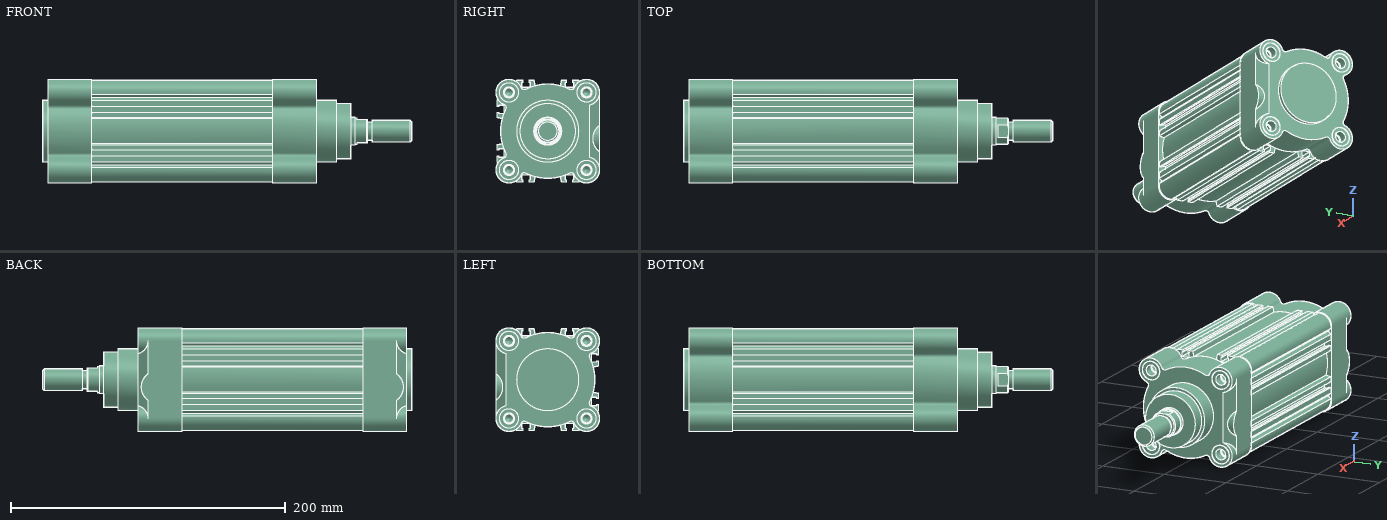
import cadquery as cq
import math

TOTAL_LENGTH = 269.0
REAR_PILOT_LENGTH = 3.8
COVER_LENGTH = 32.0
BARREL_LENGTH = 131.8
BARREL_START = REAR_PILOT_LENGTH + COVER_LENGTH
BARREL_END = BARREL_START + BARREL_LENGTH
FRONT_FACE = BARREL_END + COVER_LENGTH

COVER_SIZE = 75.5
HALF_SIZE = COVER_SIZE / 2
SCREW_OFFSET = 28.2
BOSS_RADIUS = HALF_SIZE - SCREW_OFFSET
BODY_RADIUS = 34.5
NOTCH_FILLET = 2.5
PILOT_RADIUS = 22.5

PORT_FLAT = 30.5
PORT_CHAMFER = HALF_SIZE - PORT_FLAT
PORT_BOSS_RADIUS = 11.8
PORT_BOSS_SETBACK = 14.3
PORT_BOSS_Z = -5.5

SEAT_RADIUS = 7.0
SEAT_DEPTH = 0.5
MOUTH_RADIUS = 4.0
MOUTH_DEPTH = 8.0
THREAD_RADIUS = 3.2
THREAD_DEPTH = 13.5
DRILL_HALF_ANGLE = 59

BARREL_HALF = 37.0
CORNER_CENTRE = 28.0
CORNER_RADIUS = BARREL_HALF - CORNER_CENTRE
GROOVE_OUTER = 26.5
GROOVE_INNER = 22.3
GROOVE_DEPTH = 2.2
SLOT_FLOOR = 32.0
SLOT_CENTRE = 16.0
SLOT_MOUTH = 4.3
SLOT_WIDTH = 6.0
LIP_THICKNESS = 1.5
FIN_INNER_TOP = 10.0
FIN_INNER_BASE = 9.0

NOSE_RADIUS = 22.5
NOSE_END = 214.0
NECK_RADIUS = 20.2
NECK_END = 224.5
LIP_RADIUS = 10.2
LIP_END = 227.5

ROD_RADIUS = 9.7
ROD_SHOULDER = 236.7
ROD_CHAMFER = 0.8
FLAT_START = 229.2
FLAT_HALF = 8.5
UNDERCUT_RADIUS = 6.7
THREAD_START = 240.0
ROD_THREAD_RADIUS = 8.0
ROD_TIP_CHAMFER = 1.3


def cylinder_x(x_start, x_end, radius):
    """Cylinder on the main axis between two X positions."""
    return cq.Workplane("YZ", origin=(x_start, 0, 0)).circle(radius).extrude(x_end - x_start)


def screw_socket():
    """Cutter for one screw, entering along +X from the face x = 0."""
    thread_end = SEAT_DEPTH + THREAD_DEPTH
    cone_length = THREAD_RADIUS / math.tan(math.radians(DRILL_HALF_ANGLE))
    return (
        cq.Workplane("XY")
        .polyline([
            (0, 0),
            (0, SEAT_RADIUS),
            (SEAT_DEPTH, SEAT_RADIUS),
            (SEAT_DEPTH, MOUTH_RADIUS),
            (SEAT_DEPTH + MOUTH_DEPTH, MOUTH_RADIUS),
            (SEAT_DEPTH + MOUTH_DEPTH, THREAD_RADIUS),
            (thread_end, THREAD_RADIUS),
            (thread_end + cone_length, 0),
        ])
        .close()
        .revolve(360, (0, 0, 0), (1, 0, 0))
    )


def is_notch_edge(edge):
    """True where a boss meets the round body, except on the port side."""
    centre = edge.Center()
    on_round_body = math.isclose(math.hypot(centre.y, centre.z), BODY_RADIUS, abs_tol=0.03)
    between_sides = min(abs(centre.y), abs(centre.z)) > BOSS_RADIUS
    return on_round_body and between_sides and centre.y < SCREW_OFFSET


def make_cover_casting():
    """Cover with its outer face at x = 0 and its barrel face at x = COVER_LENGTH."""
    corners = (
        cq.Workplane("YZ")
        .rect(2 * SCREW_OFFSET, 2 * SCREW_OFFSET, forConstruction=True)
        .vertices()
    )
    bosses = corners.circle(BOSS_RADIUS).extrude(COVER_LENGTH)
    casting = cylinder_x(0, COVER_LENGTH, BODY_RADIUS).union(bosses)
    notches = casting.edges("|X").filter(is_notch_edge)
    casting = notches.fillet(NOTCH_FILLET)

    boss_gap = 2 * (SCREW_OFFSET - BOSS_RADIUS)
    overhang = cq.Workplane("XY").box(
        COVER_LENGTH, HALF_SIZE, boss_gap, centered=(False, False, True)
    )
    casting = casting.cut(overhang.translate((0, PORT_FLAT, 0)))

    port_block = (
        cq.Workplane("XY", origin=(0, 0, -SCREW_OFFSET))
        .polyline([
            (0, 0),
            (0, PORT_FLAT),
            (PORT_CHAMFER, HALF_SIZE),
            (COVER_LENGTH, HALF_SIZE),
            (COVER_LENGTH, 0),
        ])
        .close()
        .extrude(2 * SCREW_OFFSET)
    )
    port_boss = (
        cq.Workplane("XZ", origin=(PORT_BOSS_SETBACK, 0, PORT_BOSS_Z))
        .circle(PORT_BOSS_RADIUS)
        .extrude(-HALF_SIZE)
    )
    casting = casting.union(port_block).union(port_boss)

    for y in (-SCREW_OFFSET, SCREW_OFFSET):
        for z in (-SCREW_OFFSET, SCREW_OFFSET):
            casting = casting.cut(screw_socket().translate((0, y, z)))
    return casting


def make_rear_cover():
    casting = make_cover_casting().translate((REAR_PILOT_LENGTH, 0, 0))
    return casting.union(cylinder_x(0, BARREL_START, PILOT_RADIUS))


def make_front_cover():
    """Mirrored casting with a stepped nose, bored through for the rod."""
    casting = make_cover_casting().mirror("YZ").translate((FRONT_FACE, 0, 0))
    nose = cylinder_x(BARREL_END, NOSE_END, NOSE_RADIUS)
    neck = cylinder_x(BARREL_END, NECK_END, NECK_RADIUS)
    lip = cylinder_x(BARREL_END, LIP_END, LIP_RADIUS)
    bore = cylinder_x(BARREL_END, LIP_END, ROD_RADIUS)
    return casting.union(nose).union(neck).union(lip).cut(bore)


def make_barrel():
    """Extruded profile: the same grooves and slots on all four sides."""
    blank = (
        cq.Workplane("YZ", origin=(BARREL_START, 0, 0))
        .rect(2 * BARREL_HALF, 2 * BARREL_HALF)
        .extrude(BARREL_LENGTH)
        .edges("|X")
        .fillet(CORNER_RADIUS)
    )
    channel = (
        cq.Workplane("YZ", origin=(BARREL_START, 0, 0))
        .polyline([
            (-FIN_INNER_TOP, BARREL_HALF),
            (-FIN_INNER_BASE, SLOT_FLOOR),
            (FIN_INNER_BASE, SLOT_FLOOR),
            (FIN_INNER_TOP, BARREL_HALF),
        ])
        .close()
        .extrude(BARREL_LENGTH)
        .cut(cylinder_x(BARREL_START, BARREL_END, BODY_RADIUS))
    )
    cutters = [channel]
    for side in (-1, 1):
        slot = (
            cq.Workplane("YZ", origin=(BARREL_START, side * SLOT_CENTRE, 0))
            .polyline([
                (-SLOT_MOUTH / 2, BARREL_HALF),
                (-SLOT_MOUTH / 2, BARREL_HALF - LIP_THICKNESS),
                (-SLOT_WIDTH / 2, BARREL_HALF - LIP_THICKNESS),
                (-SLOT_WIDTH / 2, SLOT_FLOOR),
                (SLOT_WIDTH / 2, SLOT_FLOOR),
                (SLOT_WIDTH / 2, BARREL_HALF - LIP_THICKNESS),
                (SLOT_MOUTH / 2, BARREL_HALF - LIP_THICKNESS),
                (SLOT_MOUTH / 2, BARREL_HALF),
            ])
            .close()
            .extrude(BARREL_LENGTH)
        )
        groove = (
            cq.Workplane("YZ", origin=(BARREL_START, 0, 0))
            .polyline([
                (side * GROOVE_OUTER, BARREL_HALF),
                (side * (GROOVE_OUTER + GROOVE_INNER) / 2, BARREL_HALF - GROOVE_DEPTH),
                (side * GROOVE_INNER, BARREL_HALF),
            ])
            .close()
            .extrude(BARREL_LENGTH)
        )
        cutters += [slot, groove]

    barrel = blank
    for quarter_turn in range(4):
        for cutter in cutters:
            barrel = barrel.cut(cutter.rotate((0, 0, 0), (1, 0, 0), 90 * quarter_turn))
    return barrel


def make_rod():
    """Rod with wrench flats on +Z and -Z, an undercut and a threaded end."""
    shank = cylinder_x(BARREL_END, ROD_SHOULDER, ROD_RADIUS).faces(">X").chamfer(ROD_CHAMFER)
    for side in (-1, 1):
        flat = cq.Workplane("XY").box(
            ROD_SHOULDER - FLAT_START,
            2 * ROD_RADIUS,
            ROD_RADIUS,
            centered=(False, True, True),
        )
        shank = shank.cut(flat.translate((FLAT_START, 0, side * (FLAT_HALF + ROD_RADIUS / 2))))
    undercut = cylinder_x(ROD_SHOULDER, THREAD_START, UNDERCUT_RADIUS)
    thread = (
        cylinder_x(THREAD_START, TOTAL_LENGTH, ROD_THREAD_RADIUS)
        .faces(">X")
        .chamfer(ROD_TIP_CHAMFER)
    )
    return shank.union(undercut).union(thread)


rear_cover = make_rear_cover()
barrel = make_barrel()
front_cover = make_front_cover()
rod = make_rod()

result = cq.Compound.makeCompound([
    rear_cover.val(),
    barrel.val(),
    front_cover.val(),
    rod.val(),
])